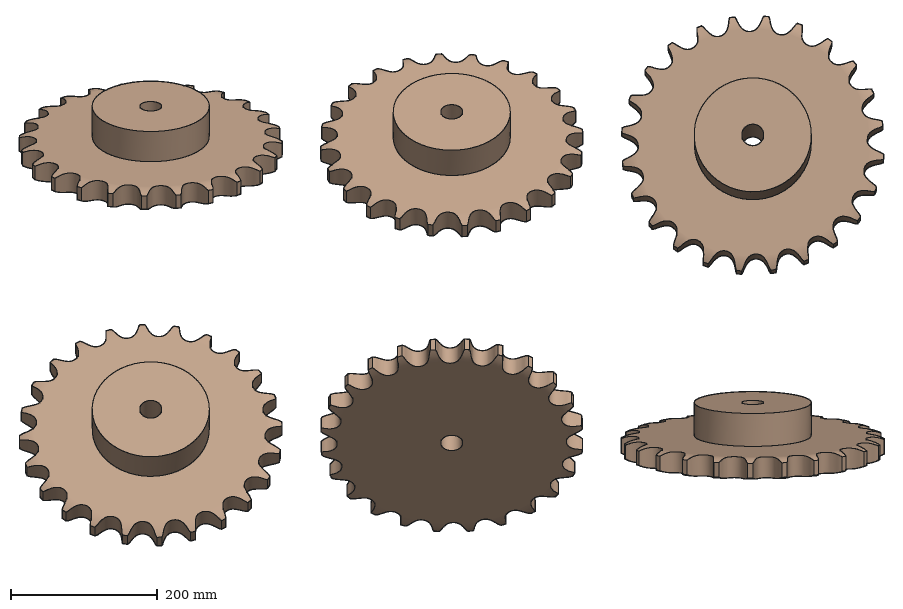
import cadquery as cq
import math

tooth_count = 24
pitch_diameter = 340.5
roller_diameter = 28.0
tip_diameter = 359.0
flat_face_diameter = 319.5
plate_thickness = 29.3
side_radius = 44.5
hub_diameter = 160.0
total_height = 75.0
bore_diameter = 30.0
cutter_overrun = 1.8

pitch_radius = pitch_diameter / 2
tip_radius = tip_diameter / 2
flat_face_radius = flat_face_diameter / 2

seating_angle = 35 + 60 / tooth_count
working_sweep = 18 - 56 / tooth_count
topping_angle = 17 - 64 / tooth_count
half_pitch_angle = 180 / tooth_count
seating_radius = 0.5025 * roller_diameter
working_offset = 0.8 * roller_diameter
working_radius = seating_radius + working_offset
topping_offset = 1.4 * roller_diameter


def shift(point, distance, angle):
    """Move a point by a distance along a direction given in degrees."""
    radians = math.radians(angle)
    return (point[0] + distance * math.cos(radians), point[1] + distance * math.sin(radians))


def mirrored(point):
    """Reflect a point across the Y axis."""
    return (-point[0], point[1])


def make_blank():
    """Revolve the plate, with its rim rounded on both faces, together with the hub."""
    rim_width = tip_radius - flat_face_radius
    rim_sweep = math.degrees(math.asin(rim_width / side_radius))

    lower_center = (flat_face_radius, side_radius)
    lower_middle = shift(lower_center, side_radius, -90 + rim_sweep / 2)
    lower_tip = shift(lower_center, side_radius, -90 + rim_sweep)
    upper_center = (flat_face_radius, plate_thickness - side_radius)
    upper_middle = shift(upper_center, side_radius, 90 - rim_sweep / 2)
    upper_tip = shift(upper_center, side_radius, 90 - rim_sweep)

    bore_radius = bore_diameter / 2
    hub_radius = hub_diameter / 2
    return (
        cq.Workplane("XZ")
        .moveTo(bore_radius, 0)
        .lineTo(flat_face_radius, 0)
        .threePointArc(lower_middle, lower_tip)
        .lineTo(*upper_tip)
        .threePointArc(upper_middle, (flat_face_radius, plate_thickness))
        .lineTo(hub_radius, plate_thickness)
        .lineTo(hub_radius, total_height)
        .lineTo(bore_radius, total_height)
        .close()
        .revolve(360, (0, 0, 0), (0, 1, 0))
    )


def make_gap():
    """Cutter for the tooth gap centred on +Y, symmetric about the Y axis."""
    roller_center = (0, pitch_radius)
    root = (0, pitch_radius - seating_radius)
    seating_middle = shift(roller_center, seating_radius, -(90 + seating_angle) / 2)
    seating_end = shift(roller_center, seating_radius, -seating_angle)

    working_center = shift(roller_center, working_offset, 180 - seating_angle)
    flank_angle = working_sweep - seating_angle
    working_middle = shift(working_center, working_radius, flank_angle - working_sweep / 2)
    working_end = shift(working_center, working_radius, flank_angle)

    topping_center = shift(roller_center, topping_offset, -half_pitch_angle)
    straight_start = working_offset * math.sin(math.radians(working_sweep))
    straight_length = topping_offset * math.sin(math.radians(topping_angle)) - straight_start
    straight_end = shift(working_end, straight_length, flank_angle + 90)
    topping_radius = math.dist(topping_center, straight_end)

    cutter_top = tip_radius + cutter_overrun
    topping_start_angle = flank_angle + 180
    topping_end_angle = 180 - math.degrees(math.asin((cutter_top - topping_center[1]) / topping_radius))
    topping_middle_angle = (topping_start_angle + topping_end_angle) / 2
    topping_middle = shift(topping_center, topping_radius, topping_middle_angle)
    topping_end = shift(topping_center, topping_radius, topping_end_angle)

    return (
        cq.Workplane("XY")
        .moveTo(*root)
        .threePointArc(seating_middle, seating_end)
        .threePointArc(working_middle, working_end)
        .lineTo(*straight_end)
        .threePointArc(topping_middle, topping_end)
        .lineTo(*mirrored(topping_end))
        .threePointArc(mirrored(topping_middle), mirrored(straight_end))
        .lineTo(*mirrored(working_end))
        .threePointArc(mirrored(working_middle), mirrored(seating_end))
        .threePointArc(mirrored(seating_middle), root)
        .close()
        .extrude(plate_thickness)
    )


result = make_blank()
gap = make_gap()
for index in range(tooth_count):
    result = result.cut(gap.rotate((0, 0, 0), (0, 0, 1), index * 360 / tooth_count))